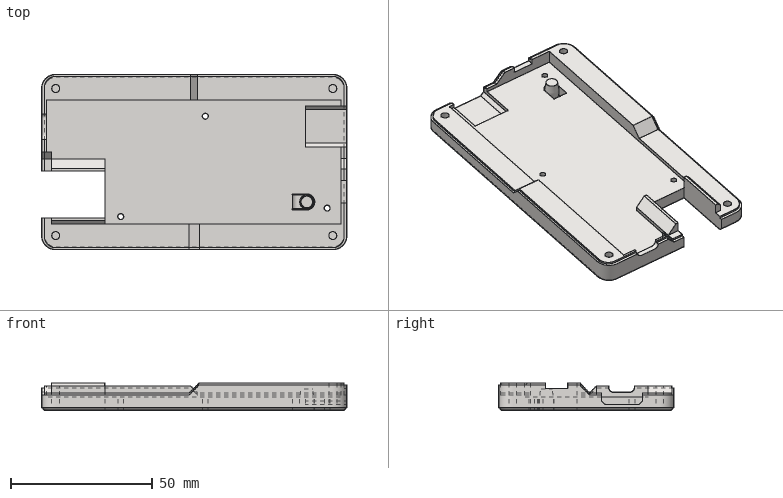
import cadquery as cq


LENGTH = 108.0
WIDTH = 62.0
CORNER_RADIUS = 5.0
BOTTOM_CHAMFER = 1.0
LEFT = -LENGTH / 2
RIGHT = LENGTH / 2
FRONT = -WIDTH / 2
BACK = WIDTH / 2

HIGH_Z = 9.7
MIDDLE_Z = 8.6
LOW_Z = 6.1
FLOOR_Z = 4.7

LIP_HEIGHT = 0.7
LIP_INSET_X = 1.0
LIP_INSET_Y = 0.7
LIP_CORNER_RADIUS = 4.0

SIDE_STRIP_WIDTH = 9.1
LEFT_WALL = 1.8
RIGHT_WALL = 2.1
POCKET_FRONT = FRONT + SIDE_STRIP_WIDTH
POCKET_BACK = BACK - SIDE_STRIP_WIDTH

FRONT_STEP_X = LEFT + 52.2
BACK_STEP_X = LEFT + 55.2
LEFT_STEP_Y = FRONT + 32.1
RIGHT_STEP_Y = FRONT + 32.2

SLOT_DEPTH = 22.4
SLOT_FRONT = FRONT + 11.3
SLOT_BACK = FRONT + 27.75
RIDGE_START_X = LEFT + 3.5
RIDGE_TOP_WIDTH = 1.0
BACK_RIDGE_FOOT_Y = FRONT + 32.1

PORT_FRONT = FRONT + 39.0
PORT_BACK = FRONT + 48.0
PORT_FLOOR_Z = 6.4
PORT_CORNER_RADIUS = 1.65

WINDOW_FRONT = FRONT + 16.6
WINDOW_BACK = FRONT + 24.4
WINDOW_FLOOR_Z = 7.7

RECESS_LENGTH = 14.7
RECESS_FRONT = FRONT + 36.4
RECESS_BACK = FRONT + 50.9
RECESS_CHAMFER = 1.3
RECESS_FLOOR_Z = 2.0

SCREW_DIAMETER = 2.8
SCREW_HOLE_FLOOR_Z = 1.0

PIN_HOLE_DIAMETER = 2.0
PIN_HOLE_CENTRES = [
    (LEFT + 28.0, FRONT + 11.7),
    (LEFT + 57.9, FRONT + 47.2),
    (LEFT + 101.0, FRONT + 14.7),
]

BUTTON_X = LEFT + 93.8
BUTTON_Y = FRONT + 16.9
BUTTON_DIAMETER = 5.0
BUTTON_TOP_DIAMETER = 4.1
BUTTON_TOP_Z = 7.5
BUTTON_CONE_Z = 4.4
TONGUE_ROOT_X = LEFT + 88.7
TONGUE_THICKNESS = 1.0
TONGUE_ROOT_FILLET = 1.8
TONGUE_GAP = 0.25


def box(x0, x1, y0, y1, z0, z1):
    """Block given by its limits along each axis."""
    return cq.Workplane("XY").box(x1 - x0, y1 - y0, z1 - z0, centered=False).translate((x0, y0, z0))


def prism_along_x(points, x0, x1):
    """Extrude a closed (y, z) outline from x0 to x1."""
    return cq.Workplane("YZ", origin=(x0, 0, 0)).polyline(points).close().extrude(x1 - x0)


def prism_along_y(points, y0, y1):
    """Extrude a closed (x, z) outline from y0 to y1."""
    return cq.Workplane("XZ", origin=(0, y0, 0)).polyline(points).close().extrude(y0 - y1)


def rounded_block(length, width, radius):
    """Centred block with rounded vertical edges, as tall as the case."""
    block = cq.Workplane("XY").box(length, width, HIGH_Z, centered=(True, True, False))
    return block.edges("|Z").fillet(radius)


def stepped_outline(start, end, foot, start_z, end_z):
    """Wall outline standing on Z = 0, whose top changes level by a 45 degree step."""
    rise = end_z - start_z
    if rise > 0:
        step = [(foot, start_z), (foot + rise, end_z)]
    else:
        step = [(foot + rise, start_z), (foot, end_z)]
    return [(start, 0), (start, start_z), *step, (end, end_z), (end, 0)]


def walls(drop):
    """The four walls, lowered by the given drop and not yet trimmed to the case outline."""
    high = HIGH_Z - drop
    middle = MIDDLE_Z - drop
    low = LOW_Z - drop

    front_outline = stepped_outline(LEFT, RIGHT, FRONT_STEP_X, low, high)
    back_outline = stepped_outline(LEFT, RIGHT, BACK_STEP_X, middle, low)
    front = prism_along_y(front_outline, FRONT, POCKET_FRONT)
    back = prism_along_y(back_outline, POCKET_BACK, BACK)

    left_step_top = LEFT_STEP_Y + MIDDLE_Z - LOW_Z
    left_outline = stepped_outline(POCKET_FRONT, POCKET_BACK, LEFT_STEP_Y, low, middle)
    thin_limits = box(LEFT, LEFT + LEFT_WALL, left_step_top, POCKET_BACK, 0, HIGH_Z)
    thick_limits = box(LEFT, RIDGE_START_X, POCKET_FRONT, left_step_top, 0, HIGH_Z)
    left = prism_along_x(left_outline, LEFT, RIDGE_START_X).intersect(thin_limits.union(thick_limits))

    right_outline = stepped_outline(POCKET_FRONT, POCKET_BACK, RIGHT_STEP_Y, high, low)
    right = prism_along_x(right_outline, RIGHT - RIGHT_WALL, RIGHT)
    return front.union(back).union(left).union(right)


def make_shell():
    """Floor and rim, with the inset lip on top of the rim."""
    outer = rounded_block(LENGTH, WIDTH, CORNER_RADIUS).faces("<Z").chamfer(BOTTOM_CHAMFER)
    inner = rounded_block(LENGTH - 2 * LIP_INSET_X, WIDTH - 2 * LIP_INSET_Y, LIP_CORNER_RADIUS)
    floor = box(LEFT + LEFT_WALL, RIGHT - RIGHT_WALL, POCKET_FRONT, POCKET_BACK, 0, FLOOR_Z)
    rim = walls(LIP_HEIGHT).union(floor).intersect(outer)
    lip = walls(0).intersect(inner).intersect(outer)
    return rim.union(lip)


def make_ridges():
    """Ridges with one sloping side each, along both sides of the connector slot."""
    slot_end = LEFT + SLOT_DEPTH
    front_flat = SLOT_FRONT - RIDGE_TOP_WIDTH
    front_bevel = front_flat - POCKET_FRONT
    front_outline = [
        (SLOT_FRONT, FLOOR_Z),
        (SLOT_FRONT, HIGH_Z),
        (front_flat, HIGH_Z),
        (POCKET_FRONT, HIGH_Z - front_bevel),
        (POCKET_FRONT, FLOOR_Z),
    ]
    back_outline = [
        (SLOT_BACK, FLOOR_Z),
        (SLOT_BACK, HIGH_Z),
        (SLOT_BACK + RIDGE_TOP_WIDTH, HIGH_Z),
        (BACK_RIDGE_FOOT_Y, LOW_Z),
        (BACK_RIDGE_FOOT_Y, FLOOR_Z),
    ]
    front = prism_along_x(front_outline, RIDGE_START_X, slot_end)
    return front.union(prism_along_x(back_outline, RIDGE_START_X, slot_end))


def make_wall_openings():
    """Connector slot, port notch, square notch and floor recess, as one cutter."""
    slot = box(LEFT, LEFT + SLOT_DEPTH, SLOT_FRONT, SLOT_BACK, 0, HIGH_Z)
    port = box(LEFT, LEFT + LEFT_WALL, PORT_FRONT, PORT_BACK, PORT_FLOOR_Z, HIGH_Z)
    port = port.edges("|X and <Z").fillet(PORT_CORNER_RADIUS)
    window = box(RIGHT - RIGHT_WALL, RIGHT, WINDOW_FRONT, WINDOW_BACK, WINDOW_FLOOR_Z, HIGH_Z)
    recess = box(RIGHT - RECESS_LENGTH, RIGHT, RECESS_FRONT, RECESS_BACK, RECESS_FLOOR_Z, HIGH_Z)
    recess = recess.edges("|X and <Z").chamfer(RECESS_CHAMFER)
    return slot.union(port).union(window).union(recess)


def make_holes():
    """Blind screw holes at the corners and through holes in the floor, as one cutter."""
    screws = (
        cq.Workplane("XY", origin=(0, 0, SCREW_HOLE_FLOOR_Z))
        .rect(LENGTH - 2 * CORNER_RADIUS, WIDTH - 2 * CORNER_RADIUS, forConstruction=True)
        .vertices()
        .circle(SCREW_DIAMETER / 2)
        .extrude(HIGH_Z)
    )
    pins = cq.Workplane("XY").pushPoints(PIN_HOLE_CENTRES).circle(PIN_HOLE_DIAMETER / 2).extrude(FLOOR_Z)
    return screws.union(pins)


def tongue_shape(radius, height):
    """Block from the tongue root to the button, ending in a half round about the button."""
    straight = box(TONGUE_ROOT_X, BUTTON_X, BUTTON_Y - radius, BUTTON_Y + radius, 0, height)
    end = cq.Workplane("XY").center(BUTTON_X, BUTTON_Y).circle(radius).extrude(height)
    return straight.union(end)


def make_button():
    """Tongue filleted at its root, carrying a cylinder with a tapered cap."""
    radius = BUTTON_DIAMETER / 2
    tongue = tongue_shape(radius, TONGUE_THICKNESS)
    fillet_top = TONGUE_THICKNESS + TONGUE_ROOT_FILLET
    root = box(
        TONGUE_ROOT_X,
        TONGUE_ROOT_X + TONGUE_ROOT_FILLET,
        BUTTON_Y - radius,
        BUTTON_Y + radius,
        TONGUE_THICKNESS,
        fillet_top,
    )
    hollow = (
        cq.Workplane("XZ", origin=(TONGUE_ROOT_X + TONGUE_ROOT_FILLET, BUTTON_Y + radius, fillet_top))
        .circle(TONGUE_ROOT_FILLET)
        .extrude(BUTTON_DIAMETER)
    )
    stem = cq.Workplane("XY").center(BUTTON_X, BUTTON_Y).circle(radius).extrude(BUTTON_CONE_Z)
    cap = (
        cq.Workplane("XY", origin=(BUTTON_X, BUTTON_Y, BUTTON_CONE_Z))
        .circle(radius)
        .workplane(offset=BUTTON_TOP_Z - BUTTON_CONE_Z)
        .circle(BUTTON_TOP_DIAMETER / 2)
        .loft()
    )
    return tongue.union(root.cut(hollow)).union(stem).union(cap)


def make_case():
    """Complete case half."""
    button_well = tongue_shape(BUTTON_DIAMETER / 2 + TONGUE_GAP, FLOOR_Z)
    case = make_shell().union(make_ridges())
    case = case.cut(make_wall_openings()).cut(make_holes()).cut(button_well)
    return case.union(make_button())


result = make_case()